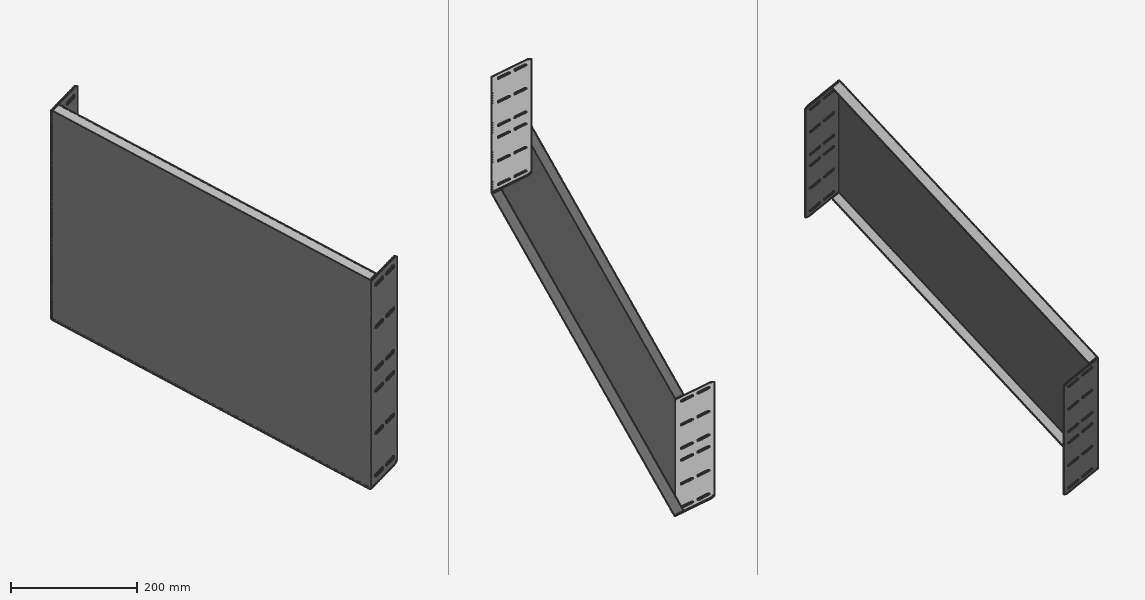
import cadquery as cq

width = 625.0
depth = 71.0
height = 494.0

sheet = 2.0
lip_depth = 17.0
corner_relief = 2.2
flange_chamfer = 5.5

slot_length = 22.0
slot_height = 7.0
slot_setbacks = (19.5, 49.0)
slot_levels = (25.0, 125.0, 225.0)

front = -depth / 2
rear = depth / 2


def block(size_x, size_y, size_z):
    """Box centred in X and Z that starts at the front face."""
    return cq.Workplane("XY").box(size_x, size_y, size_z).translate((0, front + size_y / 2, 0))


def panel():
    """Flat front panel with its four corners cut off."""
    return block(width, sheet, height).edges("|Y").chamfer(corner_relief)


def side_flanges():
    """Two deep flanges along the left and right edges, rear corners chamfered."""
    flange_height = height - 2 * corner_relief
    outer = block(width, depth, flange_height).faces(">Y").edges("|X").chamfer(flange_chamfer)
    return outer.cut(block(width - 2 * sheet, depth, flange_height))


def lips():
    """Two short lips along the top and bottom edges."""
    lip_width = width - 2 * corner_relief
    return block(lip_width, lip_depth, height).cut(block(lip_width, lip_depth, height - 2 * sheet))


def slots():
    """Round-ended slots running front to rear, cut through both side flanges."""
    centres = [
        (rear - setback, side * level)
        for setback in slot_setbacks
        for level in slot_levels
        for side in (-1, 1)
    ]
    return (
        cq.Workplane("YZ")
        .pushPoints(centres)
        .slot2D(slot_length, slot_height)
        .extrude(width, both=True)
    )


result = panel().union(side_flanges()).union(lips()).cut(slots())